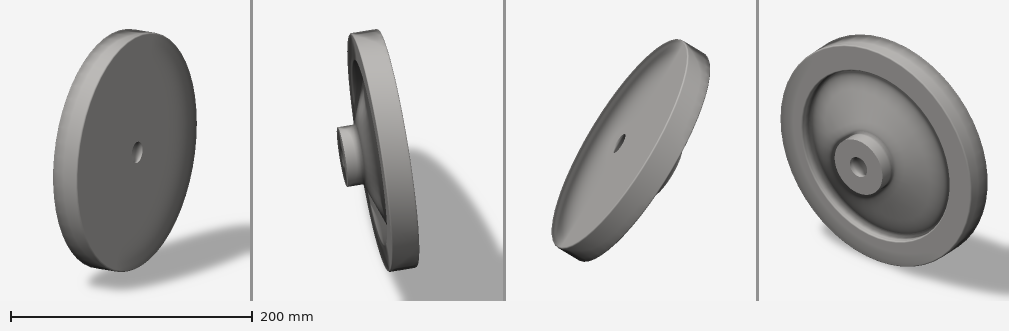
import cadquery as cq

wheel_diameter = 200.0
total_width = 46.0
rim_width = 23.2
rim_edge_radius = 1.2
hub_diameter = 50.0
hub_length = 14.0
hub_root_radius = 2.0
bore_diameter = 18.0
recess_diameter = 154.0
recess_corner_radius = 2.0
cone_rim_radius = 47.5

wheel_radius = wheel_diameter / 2
hub_radius = hub_diameter / 2
recess_radius = recess_diameter / 2
hub_face_x = -total_width
rim_face_x = -rim_width
hub_root_x = hub_face_x + hub_length
cone_slope = (rim_face_x - hub_root_x) / (cone_rim_radius - hub_radius)
recess_floor_x = hub_root_x + cone_slope * (recess_radius - hub_radius)


def revolve_about_x(points):
    """Revolve a closed (x, radius) outline about the X axis."""
    outline = cq.Workplane("XY").polyline(points).close()
    return outline.revolve(360, (0, 0, 0), (1, 0, 0))


def circle_edges_within(x, radius):
    """Select the circular edges in the plane at x with at most the given radius."""
    tolerance = 0.02
    return cq.selectors.BoxSelector(
        (x - tolerance, -radius - tolerance, -radius - tolerance),
        (x + tolerance, radius + tolerance, radius + tolerance),
        boundingbox=True,
    )


wheel = revolve_about_x([
    (0, 0),
    (0, wheel_radius),
    (rim_face_x, wheel_radius),
    (rim_face_x, recess_radius),
    (recess_floor_x, recess_radius),
    (hub_root_x, hub_radius),
    (hub_face_x, hub_radius),
    (hub_face_x, 0),
])

for rim_edge_x in (0, rim_face_x):
    wheel = wheel.edges(circle_edges_within(rim_edge_x, wheel_radius)).fillet(rim_edge_radius)

wheel = wheel.edges(circle_edges_within(recess_floor_x, recess_radius)).fillet(recess_corner_radius)
wheel = wheel.edges(circle_edges_within(hub_root_x, hub_radius)).fillet(hub_root_radius)

bore = cq.Workplane("YZ").circle(bore_diameter / 2).extrude(-total_width)

result = wheel.cut(bore)